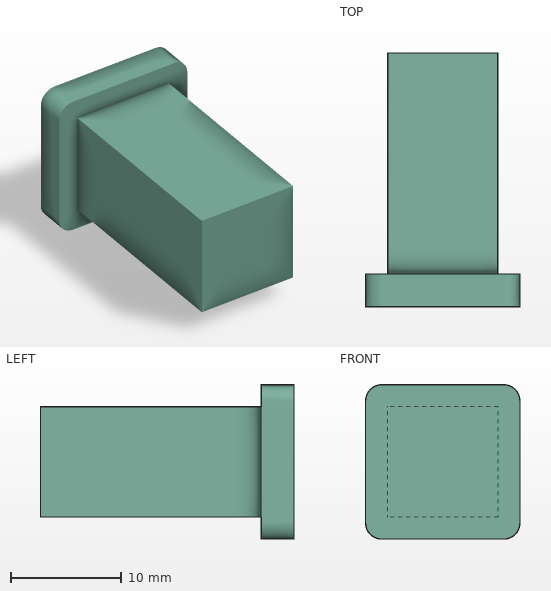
import cadquery as cq

total_length = 23.0
head_width = 14.0
head_thickness = 3.0
head_corner_diameter = 3.0
shank_width = 10.0

head_corner_radius = head_corner_diameter / 2
shank_length = total_length - head_thickness


def make_head():
    """Square plate with rounded corners, front face on the XZ plane."""
    plate = cq.Workplane("XY").box(
        head_width, head_thickness, head_width, centered=(True, False, True)
    )
    return plate.edges("|Y").fillet(head_corner_radius)


def make_shank():
    """Square bar running back from the head along +Y."""
    bar = cq.Workplane("XY").box(
        shank_width, shank_length, shank_width, centered=(True, False, True)
    )
    return bar.translate((0, head_thickness, 0))


result = make_head().union(make_shank())